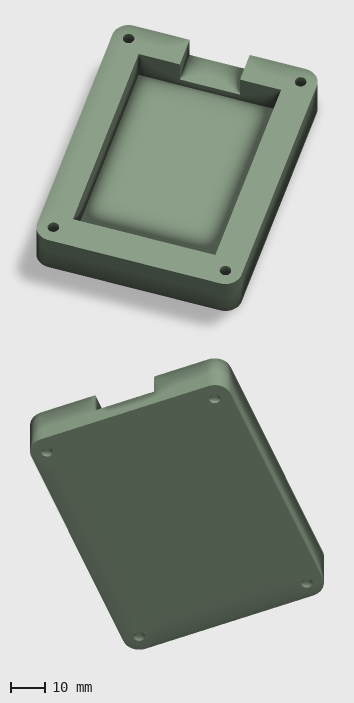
import cadquery as cq

width = 62.9
length = 82.95
height = 13.0
corner_radius = 5.0

wall = 9.5
pocket_depth = 10.0

notch_width = 18.5
notch_depth = 7.3

hole_diameter = 3.4


def top_cutter(size_x, size_y, depth, center_y=0.0):
    """Box reaching down from the top face by the given depth."""
    return (
        cq.Workplane("XY", origin=(0, center_y, height - depth))
        .rect(size_x, size_y)
        .extrude(depth)
    )


block = (
    cq.Workplane("XY")
    .rect(width, length)
    .extrude(height)
    .edges("|Z")
    .fillet(corner_radius)
)

pocket = top_cutter(width - 2 * wall, length - 2 * wall, pocket_depth)
notch = top_cutter(notch_width, wall, notch_depth, center_y=(length - wall) / 2)

screw_holes = (
    cq.Workplane("XY")
    .rect(width - 2 * corner_radius, length - 2 * corner_radius, forConstruction=True)
    .vertices()
    .circle(hole_diameter / 2)
    .extrude(height)
)

result = block.cut(pocket).cut(notch).cut(screw_holes)